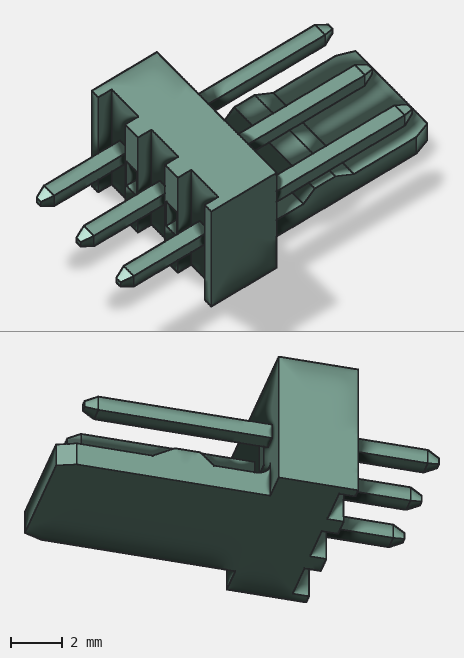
import cadquery as cq

pin_count = 3
pitch = 2.53
housing_width = 7.61
housing_depth = 3.19
housing_height = 5.8
groove_width = 1.71
groove_depth = 0.65
window_width = 0.65
window_height = 1.48

pin_size = 0.64
pin_tip_size = 0.27
pin_taper = 0.5
pin_front_reach = 3.55
pin_length = 14.22
pin_height = 2.88

overall_length = 15.26
tongue_end = overall_length - pin_front_reach
tongue_width = 5.13
tongue_thickness = 1.0
tongue_tip_width = 4.58
tongue_tip_length = 0.75
root_radius = 0.55

bump_top = 1.54
bump_front_foot = 2.26
bump_front_crest = 2.81
bump_rear_crest = 3.82
bump_rear_foot = 4.72

pin_positions = [(i - (pin_count - 1) / 2) * pitch for i in range(pin_count)]
window_positions = [x + pitch / 2 for x in pin_positions[:-1]]


def block(width, depth, height, x, y, z):
    """Box centred on x, starting at y and z."""
    return cq.Workplane("XY").box(width, depth, height, centered=(True, False, False)).translate((x, y, z))


def make_housing():
    housing = block(housing_width, housing_depth, housing_height, 0, 0, 0)
    for x in pin_positions:
        housing = housing.cut(block(groove_width, groove_depth, housing_height, x, 0, 0))
    window_base = pin_height - window_height / 2
    for x in window_positions:
        housing = housing.cut(block(window_width, housing_depth, window_height, x, 0, window_base))
    return housing


def make_tongue():
    rear = housing_depth
    profile = (
        cq.Workplane("YZ")
        .moveTo(rear, 0)
        .lineTo(tongue_end, 0)
        .lineTo(tongue_end, tongue_thickness)
        .lineTo(rear + bump_rear_foot, tongue_thickness)
        .lineTo(rear + bump_rear_crest, bump_top)
        .lineTo(rear + bump_front_crest, bump_top)
        .lineTo(rear + bump_front_foot, tongue_thickness)
        .lineTo(rear + root_radius, tongue_thickness)
        .radiusArc((rear, tongue_thickness + root_radius), root_radius)
        .close()
        .extrude(tongue_width / 2, both=True)
    )
    shoulder = tongue_end - tongue_tip_length
    outline = (
        cq.Workplane("XY")
        .polyline([
            (-tongue_width / 2, rear),
            (tongue_width / 2, rear),
            (tongue_width / 2, shoulder),
            (tongue_tip_width / 2, tongue_end),
            (-tongue_tip_width / 2, tongue_end),
            (-tongue_width / 2, shoulder),
        ])
        .close()
        .extrude(housing_height)
    )
    return profile.intersect(outline)


def make_pin(x):
    shaft_length = pin_length - 2 * pin_taper
    shaft = block(pin_size, shaft_length, pin_size, 0, -shaft_length / 2, -pin_size / 2)
    taper = (
        cq.Workplane("XZ", origin=(0, -shaft_length / 2, 0))
        .rect(pin_size, pin_size)
        .workplane(offset=pin_taper)
        .rect(pin_tip_size, pin_tip_size)
        .loft(ruled=True)
    )
    pin = shaft.union(taper).union(taper.mirror("XZ"))
    return pin.translate((x, pin_length / 2 - pin_front_reach, pin_height))


result = make_housing().union(make_tongue())
for pin_x in pin_positions:
    result = result.union(make_pin(pin_x))